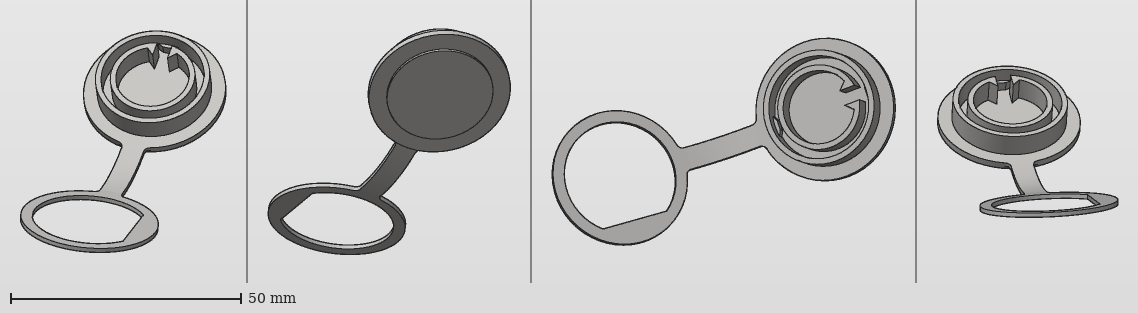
import cadquery as cq
import math


strap_width = 5.0
strap_thickness = 1.0
bend_radius = 30.0
cap_tilt = 16.0
ring_tilt = 14.0
neck_fillet = 1.4

cap_diameter = 31.0
cap_radius = cap_diameter / 2
cap_thickness = 1.55
pad_radius = 11.6
pad_height = 0.7
cap_reach = 16.25
wall_height = 5.0
outer_wall_radius = 12.5
outer_wall_inside = 11.25
inner_wall_radius = 9.25
inner_wall_inside = 8.0
gap_width = 3.4
tooth_tip = 5.6

key_height = 2.0
key_depth = 0.85
key_root_width = 4.6
key_tip_width = 2.15

ring_radius = 15.0
ring_reach = 16.2
ring_opening_radius = 12.5
ring_flat = 9.9


def cylinder(radius, height):
    return cq.Workplane("XY").circle(radius).extrude(height)


def neck(disc_radius, reach):
    """Flat strap end on the Y axis, flaring into a disc centred at the origin."""
    half_width = strap_width / 2
    fillet_x = half_width + neck_fillet
    fillet_y = -math.sqrt((disc_radius + neck_fillet) ** 2 - fillet_x ** 2)
    on_disc = disc_radius / (disc_radius + neck_fillet)
    tangent_x = fillet_x * on_disc
    tangent_y = fillet_y * on_disc
    middle_angle = (math.pi + math.atan2(-fillet_y, -fillet_x)) / 2
    middle_x = fillet_x + neck_fillet * math.cos(middle_angle)
    middle_y = fillet_y + neck_fillet * math.sin(middle_angle)
    return (
        cq.Workplane("XY")
        .moveTo(0, -reach)
        .lineTo(half_width, -reach)
        .lineTo(half_width, fillet_y)
        .threePointArc((middle_x, middle_y), (tangent_x, tangent_y))
        .lineTo(0, 0)
        .lineTo(-tangent_x, tangent_y)
        .threePointArc((-middle_x, middle_y), (-half_width, fillet_y))
        .lineTo(-half_width, -reach)
        .close()
        .extrude(-strap_thickness)
    )


def tooth(side):
    """Triangular tooth beside the gap; side is +1 or -1 along X."""
    gap_edge = gap_width / 2
    root_radius = (inner_wall_radius + inner_wall_inside) / 2
    root_y = math.sqrt(root_radius ** 2 - gap_edge ** 2)
    offset = tooth_tip - gap_edge
    flank_x = (math.sqrt(2 * root_radius ** 2 - offset ** 2) - offset) / 2
    return (
        cq.Workplane("XY")
        .moveTo(side * gap_edge, tooth_tip)
        .lineTo(side * flank_x, flank_x + offset)
        .lineTo(side * gap_edge, root_y)
        .close()
        .extrude(wall_height)
    )


def key(side):
    """Key narrowing from the outer wall towards the centre; side is +1 or -1 along Y."""
    half_root = key_root_width / 2
    half_tip = key_tip_width / 2
    root_y = math.sqrt(outer_wall_inside ** 2 - half_root ** 2)
    tip_y = outer_wall_inside - key_depth
    buried_y = (outer_wall_inside + outer_wall_radius) / 2
    return (
        cq.Workplane("XY")
        .polyline([
            (-half_tip, side * tip_y),
            (-half_root, side * root_y),
            (-half_root, side * buried_y),
            (half_root, side * buried_y),
            (half_root, side * root_y),
            (half_tip, side * tip_y),
        ])
        .close()
        .extrude(key_height)
    )


def flat_cap():
    """Cap centred at the origin, its neck pointing to -Y, with the upper face of its plate at Z = 0."""
    outer_wall = cylinder(outer_wall_radius, wall_height).cut(cylinder(outer_wall_inside, wall_height))
    inner_wall = cylinder(inner_wall_radius, wall_height).cut(cylinder(inner_wall_inside, wall_height))
    gap = (
        cq.Workplane("XY")
        .rect(gap_width, inner_wall_radius)
        .extrude(wall_height)
        .translate((0, inner_wall_radius, 0))
    )
    cap = cylinder(cap_radius, -cap_thickness).union(neck(cap_radius, cap_reach))
    pad = cylinder(pad_radius, -pad_height).translate((0, 0, -cap_thickness))
    cap = cap.union(pad).union(outer_wall).union(inner_wall.cut(gap))
    for side in (1, -1):
        cap = cap.union(tooth(side)).union(key(side))
    return cap


def flat_ring():
    """Ring centred at the origin, its neck pointing to +Y, upper face at Z = 0."""
    opening_width = ring_opening_radius + ring_flat
    opening = cylinder(ring_opening_radius, -strap_thickness).intersect(
        cq.Workplane("XY")
        .rect(opening_width, 2 * ring_opening_radius)
        .extrude(-strap_thickness)
        .translate((ring_flat - opening_width / 2, 0, 0))
    )
    ring_neck = neck(ring_radius, ring_reach).mirror("XZ")
    return cylinder(ring_radius, -strap_thickness).union(ring_neck).cut(opening)


def bend_point(radius, angle):
    """Point in the YZ plane on an arc about the bend axis, angle from straight down."""
    turn = math.radians(angle)
    return (radius * math.sin(turn), bend_radius - radius * math.cos(turn))


def strap():
    """Curved strap, lowest at the origin of its upper face."""
    under_radius = bend_radius + strap_thickness
    return (
        cq.Workplane("YZ")
        .moveTo(*bend_point(bend_radius, -ring_tilt))
        .threePointArc((0, 0), bend_point(bend_radius, cap_tilt))
        .lineTo(*bend_point(under_radius, cap_tilt))
        .threePointArc((0, -strap_thickness), bend_point(under_radius, -ring_tilt))
        .close()
        .extrude(strap_width / 2, both=True)
    )


def swing(body, angle):
    """Rotate a body about the bend axis, which runs along X."""
    return body.rotate((0, 0, bend_radius), (1, 0, bend_radius), angle)


cap = swing(flat_cap().translate((0, cap_reach, 0)), cap_tilt)
ring = swing(flat_ring().translate((0, -ring_reach, 0)), -ring_tilt)
result = strap().union(cap).union(ring)